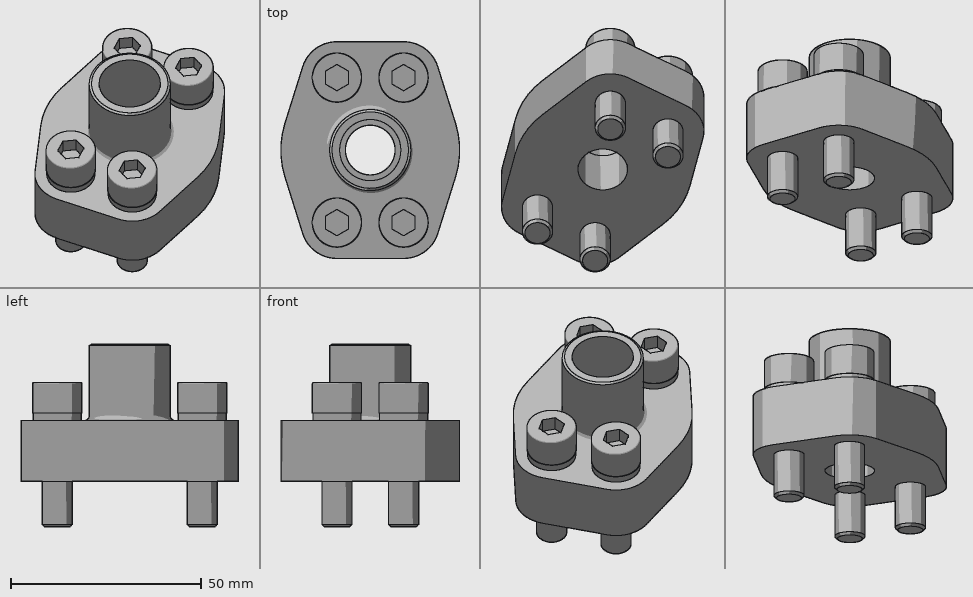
import cadquery as cq
import math

plate_length = 57.0
plate_width = 47.0
plate_height = 16.0

neck_diameter = 21.3
neck_height = 20.0
neck_chamfer_width = 0.6
neck_chamfer_height = 0.35
neck_root_fillet = 1.25
neck_bore_diameter = 16.1
flow_bore_diameter = 13.0

screw_spacing_x = 17.5
screw_spacing_y = 38.1
shank_diameter = 8.0
shank_protrusion = 11.95
shank_chamfer = 0.7
washer_diameter = 12.7
washer_height = 2.0
head_diameter = 13.0
head_height = 8.0
head_fillet = 0.4
hexagon_across_flats = 6.0
hexagon_depth = 4.0

side_radius = plate_width / 2
corner_x = screw_spacing_x / 2
corner_y = screw_spacing_y / 2
corner_radius = plate_length / 2 - corner_y

tangent_angle = math.atan2(corner_y, corner_x) - math.acos(
    (side_radius - corner_radius) / math.hypot(corner_x, corner_y)
)


def point_on_arc(center_x, center_y, radius, angle):
    return (center_x + radius * math.cos(angle), center_y + radius * math.sin(angle))


def make_plate():
    middle_angle = (tangent_angle + math.pi / 2) / 2
    side_end = point_on_arc(0, 0, side_radius, tangent_angle)
    corner_start = point_on_arc(corner_x, corner_y, corner_radius, tangent_angle)
    corner_middle = point_on_arc(corner_x, corner_y, corner_radius, middle_angle)
    corner_end = (corner_x, plate_length / 2)

    def flip_x(point):
        return (-point[0], point[1])

    def flip_y(point):
        return (point[0], -point[1])

    def flip_both(point):
        return (-point[0], -point[1])

    return (
        cq.Workplane("XY")
        .moveTo(*flip_y(side_end))
        .threePointArc((side_radius, 0), side_end)
        .lineTo(*corner_start)
        .threePointArc(corner_middle, corner_end)
        .lineTo(*flip_x(corner_end))
        .threePointArc(flip_x(corner_middle), flip_x(corner_start))
        .lineTo(*flip_x(side_end))
        .threePointArc((-side_radius, 0), flip_both(side_end))
        .lineTo(*flip_both(corner_start))
        .threePointArc(flip_both(corner_middle), flip_both(corner_end))
        .lineTo(*flip_y(corner_end))
        .threePointArc(flip_y(corner_middle), flip_y(corner_start))
        .close()
        .extrude(plate_height)
    )


def make_neck():
    neck_radius = neck_diameter / 2
    neck_top = plate_height + neck_height
    fillet_offset = neck_root_fillet * (1 - math.sqrt(0.5))
    return (
        cq.Workplane("XZ")
        .lineTo(neck_radius + neck_root_fillet, 0)
        .lineTo(neck_radius + neck_root_fillet, plate_height)
        .threePointArc(
            (neck_radius + fillet_offset, plate_height + fillet_offset),
            (neck_radius, plate_height + neck_root_fillet),
        )
        .lineTo(neck_radius, neck_top - neck_chamfer_height)
        .lineTo(neck_radius - neck_chamfer_width, neck_top)
        .lineTo(0, neck_top)
        .close()
        .revolve(360, (0, 0, 0), (0, 1, 0))
    )


def cut_bores(body):
    flow_bore = cq.Workplane("XY").circle(flow_bore_diameter / 2).extrude(plate_height)
    neck_bore = (
        cq.Workplane("XY")
        .workplane(offset=plate_height)
        .circle(neck_bore_diameter / 2)
        .extrude(neck_height)
    )
    return body.cut(flow_bore).cut(neck_bore)


def make_screw():
    shank = (
        cq.Workplane("XY")
        .workplane(offset=-shank_protrusion)
        .circle(shank_diameter / 2)
        .extrude(shank_protrusion + plate_height)
        .faces("<Z")
        .chamfer(shank_chamfer)
    )
    washer = (
        cq.Workplane("XY")
        .workplane(offset=plate_height)
        .circle(washer_diameter / 2)
        .extrude(washer_height)
    )
    head_top = plate_height + washer_height + head_height
    head = (
        cq.Workplane("XY")
        .workplane(offset=plate_height + washer_height)
        .circle(head_diameter / 2)
        .extrude(head_height)
        .faces(">Z")
        .edges()
        .fillet(head_fillet)
    )
    hexagon = (
        cq.Workplane("XY")
        .workplane(offset=head_top - hexagon_depth)
        .polygon(6, hexagon_across_flats, circumscribed=True)
        .extrude(hexagon_depth)
    )
    return shank.union(washer).union(head).cut(hexagon)


result = cut_bores(make_plate().union(make_neck()))
screw = make_screw()
for x_sign in (-1, 1):
    for y_sign in (-1, 1):
        result = result.union(screw.translate((x_sign * corner_x, y_sign * corner_y, 0)))